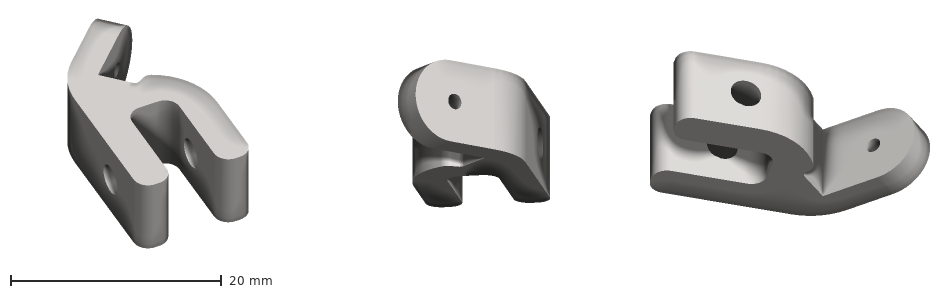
import cadquery as cq
import math

length = 25.62
depth = 12.0
height = 8.0

prong_width = 3.497
prong_length = 10.5
corner_radius = 1.5
pin_hole_diameter = 3.0
pin_hole_x = 19.09

strap_thickness = 3.0
strap_foot_x = 8.48
strap_hole_diameter = 1.5
strap_hole_from_tip = 4.5

bend_radius = 7.0
shoulder_x = 17.68
notch_x = 9.2
nose_y = 7.58
nose_radius = 1.0
throat_x = 11.96
throat_radius = 0.49

diagonal = math.sqrt(0.5)
strap_offset = strap_thickness * diagonal
notch_y = strap_foot_x + strap_thickness / diagonal - notch_x
throat_y = notch_y + throat_x - notch_x
slot_end_x = length - prong_length
slot_top_y = depth - prong_width
shoulder_center_y = depth - bend_radius


def shoulder_point(y):
    """Point at the given Y on the shoulder arc."""
    x = shoulder_x - math.sqrt(bend_radius**2 - (y - shoulder_center_y) ** 2)
    return (x, y)


def make_profile():
    """Plate with sharp corners, extruded over the full height."""
    return (
        cq.Workplane("XY")
        .moveTo(0, strap_foot_x)
        .lineTo(strap_foot_x, 0)
        .lineTo(length, 0)
        .lineTo(length, prong_width)
        .lineTo(slot_end_x, prong_width)
        .lineTo(slot_end_x, slot_top_y)
        .lineTo(length, slot_top_y)
        .lineTo(length, depth)
        .lineTo(shoulder_x, depth)
        .threePointArc(shoulder_point((depth + nose_y) / 2), shoulder_point(nose_y))
        .lineTo(throat_x, throat_y)
        .lineTo(notch_x, notch_y)
        .lineTo(strap_offset, strap_foot_x + strap_offset)
        .close()
        .extrude(height)
    )


def round_corner(body, point, radius):
    """Fillet the upright edge that passes through an XY point."""
    edge = cq.selectors.NearestToPointSelector((*point, height / 2))
    return body.edges("|Z").edges(edge).fillet(radius)


def strap_plane():
    """Plane on the outer strap face: origin at the tip, local X along the strap, normal inward."""
    return cq.Plane(
        origin=(0, strap_foot_x, height / 2),
        xDir=(diagonal, -diagonal, 0),
        normal=(diagonal, diagonal, 0),
    )


def make_tip_waste():
    """Material outside the half-round end of the strap."""
    radius = height / 2
    square_end = (
        cq.Workplane(strap_plane())
        .center(radius / 2, 0)
        .rect(radius, height)
        .extrude(strap_thickness)
    )
    round_end = (
        cq.Workplane(strap_plane())
        .center(radius, 0)
        .circle(radius)
        .extrude(strap_thickness)
    )
    return square_end.cut(round_end)


def make_strap_hole():
    return (
        cq.Workplane(strap_plane())
        .center(strap_hole_from_tip, 0)
        .circle(strap_hole_diameter / 2)
        .extrude(strap_thickness)
    )


def make_pin_hole():
    """Hole along Y through both prongs."""
    return (
        cq.Workplane("XZ")
        .center(pin_hole_x, height / 2)
        .circle(pin_hole_diameter / 2)
        .extrude(-depth)
    )


result = make_profile()

for prong_y in (0, prong_width, slot_top_y, depth):
    result = round_corner(result, (length, prong_y), corner_radius)
for slot_y in (prong_width, slot_top_y):
    result = round_corner(result, (slot_end_x, slot_y), corner_radius)
result = round_corner(result, (strap_foot_x, 0), bend_radius)
result = round_corner(result, shoulder_point(nose_y), nose_radius)
result = round_corner(result, (throat_x, throat_y), throat_radius)

result = result.cut(make_tip_waste()).cut(make_strap_hole()).cut(make_pin_hole())